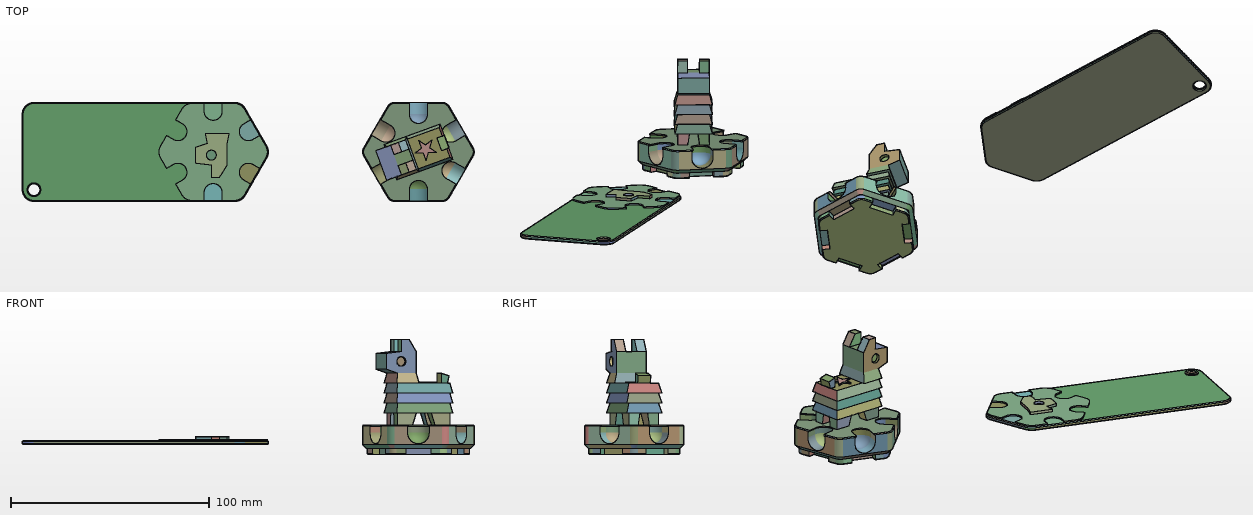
import cadquery as cq
import math

TOTAL_LENGTH = 228.2

HEX_FLATS = 50.0
EDGE_CHAMFER = 0.5
HEX_SIDES = 6

BASE_CORNER_RADIUS = 4.0
BASE_HEIGHT = 15.0
FOOT_HEIGHT = 3.0
FOOT_INSET = 2.0
FOOT_NOTCH_WIDTH = 12.8

SOCKET_RADIUS = 5.5
SOCKET_MOUTH_RADIUS = 4.5
SOCKET_AXIS_DEPTH = 4.0
SOCKET_CENTRE = 19.0

LLAMA_ANGLE = 20.0
BODY_LENGTH = 30.1
BODY_WIDTH = 19.0
NARROW_WIDTH = 16.0
LAYER_HEIGHT = 5.0
END_FLARE = 1.0
BODY_LAYERS = 3
LEG_HEIGHT = 6.0
LEG_GAP_TOP = 8.0
LEG_GAP_BOTTOM = 11.9
LEG_SPLIT_TOP = 4.0
LEG_SPLIT_BOTTOM = 6.0

HEAD_HEIGHT = 11.0
HEAD_LENGTH = 16.0
NECK_LENGTH = 10.0
SNOUT_BOTTOM = 2.0
SNOUT_HEIGHT = 8.0
EAR_LENGTH = 8.0
EAR_TOP_LENGTH = 4.0
EAR_HEIGHT = 6.2
EAR_WIDTH = 5.0
EYE_DROP = 5.0
EYE_DIAMETER = 4.8
EYE_DEPTH = 1.5

TAIL_FRONT = 11.2
TAIL_TOP_LENGTH = 4.0
TAIL_ROOT_LENGTH = 3.2
TAIL_WIDTH = 6.8
TAIL_HEIGHT = 5.0
TAIL_DROP = 1.25
STAR_POINTS = 5
STAR_RADIUS = 5.7
STAR_HEIGHT = 0.7
STAR_U = 3.9

TAG_HEX_X = -103.6
TAG_BOTTOM = 5.0
TAG_THICKNESS = 2.0
TILE_HEIGHT = 0.7
PORTRAIT_HEIGHT = 2.0
PORTRAIT_EYE_DIAMETER = 5.0
PORTRAIT_BACK = 7.0
PORTRAIT_CHIN = 4.3
TILE_NOTCH_TIP = 16.0
KEY_HOLE_DIAMETER = 6.0
TAG_CORNER_RADIUS = 6.0

SQRT3 = math.sqrt(3)
HEX_TIP_X = HEX_FLATS / SQRT3 - BASE_CORNER_RADIUS * (2 / SQRT3 - 1)
TAG_LEFT = HEX_TIP_X - TOTAL_LENGTH
TAG_TOP = TAG_BOTTOM + TAG_THICKNESS
TILE_TOP = TAG_TOP + TILE_HEIGHT
BODY_BOTTOM = BASE_HEIGHT + LEG_HEIGHT
BODY_TOP = BODY_BOTTOM + BODY_LAYERS * LAYER_HEIGHT
HEAD_BOTTOM = BODY_TOP + LAYER_HEIGHT
NECK_FRONT = END_FLARE - BODY_LENGTH / 2
HEAD_BACK = NECK_FRONT + NECK_LENGTH
FOOT_FLATS = HEX_FLATS - 2 * FOOT_INSET


def hex_prism(flats, corner_radius, bottom, height):
    """Hexagonal prism with two corners on the X axis and rounded upright edges."""
    prism = cq.Workplane("XY", origin=(0, 0, bottom)).polygon(HEX_SIDES, 2 * flats / SQRT3).extrude(height)
    return prism.edges("|Z").fillet(corner_radius)


def cut_at_each_flat(shape, cutter):
    """Cut the shape with a cutter made for the -Y flat, repeated at all six flats."""
    for side in range(HEX_SIDES):
        shape = shape.cut(cutter.rotate((0, 0, 0), (0, 0, 1), side * 360 / HEX_SIDES))
    return shape



def socket_half_profile():
    """Half of the socket's cross-section: round bottom, upright wall and 45 degree lip."""
    axis_z = BASE_HEIGHT - SOCKET_AXIS_DEPTH
    lip_z = BASE_HEIGHT - (SOCKET_RADIUS - SOCKET_MOUTH_RADIUS)
    arc_offset = SOCKET_RADIUS * math.sqrt(0.5)
    return (
        cq.Workplane("XZ", origin=(0, -SOCKET_CENTRE, 0))
        .moveTo(0, axis_z - SOCKET_RADIUS)
        .threePointArc((arc_offset, axis_z - arc_offset), (SOCKET_RADIUS, axis_z))
        .lineTo(SOCKET_RADIUS, lip_z)
        .lineTo(SOCKET_MOUTH_RADIUS, BASE_HEIGHT)
        .lineTo(0, BASE_HEIGHT)
        .close()
    )


def socket_cutter():
    """Slot running inward from the -Y flat to a domed end."""
    half_slot = socket_half_profile().extrude(HEX_FLATS / 2 - SOCKET_CENTRE)
    domed_end = socket_half_profile().revolve(360, (0, 0, 0), (0, 1, 0))
    return domed_end.union(half_slot).union(half_slot.mirror("YZ"))


def make_base():
    block = hex_prism(HEX_FLATS, BASE_CORNER_RADIUS, FOOT_HEIGHT, BASE_HEIGHT - FOOT_HEIGHT)
    block = block.faces(">Z").chamfer(EDGE_CHAMFER)
    block = block.faces("<Z").chamfer(FOOT_INSET)
    block = cut_at_each_flat(block, socket_cutter())

    foot = hex_prism(FOOT_FLATS, BASE_CORNER_RADIUS, 0, FOOT_HEIGHT).faces("<Z").chamfer(EDGE_CHAMFER)
    notch_depth = FOOT_FLATS / 2 - SOCKET_CENTRE
    notch = cq.Workplane("XY").box(FOOT_NOTCH_WIDTH, 2 * notch_depth, FOOT_HEIGHT, centered=(True, True, False))
    foot = cut_at_each_flat(foot, notch.translate((0, -FOOT_FLATS / 2, 0)))
    return block.union(foot)



def flared_layer(u_min, u_max, bottom):
    """Rectangular layer across the body whose sides flare outward toward its bottom edge."""
    length = u_max - u_min
    return (
        cq.Workplane("XY", origin=((u_min + u_max) / 2, 0, bottom))
        .rect(length, BODY_WIDTH)
        .workplane(offset=LAYER_HEIGHT)
        .rect(length - 2 * END_FLARE, NARROW_WIDTH)
        .loft()
    )


def leg_gap(plane, top_width, bottom_width, reach):
    """Passage between the legs, wider at the floor than at the belly."""
    return (
        cq.Workplane(plane, origin=(0, 0, BASE_HEIGHT))
        .polyline([
            (-bottom_width / 2, 0),
            (bottom_width / 2, 0),
            (top_width / 2, LEG_HEIGHT),
            (-top_width / 2, LEG_HEIGHT),
        ])
        .close()
        .extrude(reach, both=True)
    )


def make_legs():
    legs = cq.Workplane("XY", origin=(0, 0, BASE_HEIGHT)).box(
        BODY_LENGTH - 2 * END_FLARE, NARROW_WIDTH, LEG_HEIGHT, centered=(True, True, False)
    )
    legs = legs.cut(leg_gap("XZ", LEG_GAP_TOP, LEG_GAP_BOTTOM, BODY_WIDTH))
    return legs.cut(leg_gap("YZ", LEG_SPLIT_TOP, LEG_SPLIT_BOTTOM, BODY_LENGTH))


def head_outline():
    """Side outline of the head without ears, from the back face at 0 to the snout."""
    return [
        (0, 0),
        (-NECK_LENGTH, 0),
        (-HEAD_LENGTH, SNOUT_BOTTOM),
        (-HEAD_LENGTH, SNOUT_BOTTOM + SNOUT_HEIGHT),
        (-EAR_LENGTH, HEAD_HEIGHT),
        (0, HEAD_HEIGHT),
    ]


def ear_outline():
    """Side outline of an ear, flat on top and sloping down to the back of the head."""
    return [
        (0, HEAD_HEIGHT),
        (-EAR_LENGTH, HEAD_HEIGHT),
        (-EAR_LENGTH, HEAD_HEIGHT + EAR_HEIGHT),
        (EAR_TOP_LENGTH - EAR_LENGTH, HEAD_HEIGHT + EAR_HEIGHT),
    ]


def make_head():
    side_plane = cq.Workplane("XZ", origin=(HEAD_BACK, 0, HEAD_BOTTOM))
    head = side_plane.polyline(head_outline()).close().extrude(NARROW_WIDTH / 2, both=True)
    eye = side_plane.center(-EAR_LENGTH, HEAD_HEIGHT - EYE_DROP).circle(EYE_DIAMETER / 2)
    eye = eye.extrude(EYE_DEPTH, both=True)
    ear = side_plane.polyline(ear_outline()).close().extrude(EAR_WIDTH / 2, both=True)
    for side in (-1, 1):
        head = head.union(ear.translate((0, side * (NARROW_WIDTH - EAR_WIDTH) / 2, 0)))
        head = head.cut(eye.translate((0, side * NARROW_WIDTH / 2, 0)))
    return head


def make_tail():
    return (
        cq.Workplane("XZ", origin=(TAIL_FRONT, 0, BODY_TOP))
        .polyline([
            (0, 0),
            (0, TAIL_HEIGHT),
            (TAIL_TOP_LENGTH, TAIL_HEIGHT - TAIL_DROP),
            (TAIL_ROOT_LENGTH, 0),
        ])
        .close()
        .extrude(TAIL_WIDTH / 2, both=True)
    )


def make_star():
    """Regular five-pointed star with one point toward the head."""
    inner_radius = STAR_RADIUS * math.cos(2 * math.pi / STAR_POINTS) / math.cos(math.pi / STAR_POINTS)
    points = []
    for corner in range(2 * STAR_POINTS):
        radius = STAR_RADIUS if corner % 2 == 0 else inner_radius
        angle = math.pi + corner * math.pi / STAR_POINTS
        points.append((radius * math.cos(angle), radius * math.sin(angle)))
    return cq.Workplane("XY", origin=(STAR_U, 0, BODY_TOP)).polyline(points).close().extrude(STAR_HEIGHT)


def make_llama():
    llama = make_legs()
    for layer in range(BODY_LAYERS):
        layer_bottom = BODY_BOTTOM + layer * LAYER_HEIGHT
        llama = llama.union(flared_layer(-BODY_LENGTH / 2, BODY_LENGTH / 2, layer_bottom))
    llama = llama.union(flared_layer(-BODY_LENGTH / 2, HEAD_BACK + END_FLARE, BODY_TOP))
    llama = llama.union(make_head()).union(make_tail()).union(make_star())
    return llama.rotate((0, 0, 0), (0, 0, 1), LLAMA_ANGLE)



def make_tag_plate():
    """Flat plate with a square end and a pointed end shaped like half of the hexagon."""
    corner_x = HEX_FLATS / SQRT3 / 2
    square_end = TAG_LEFT - TAG_HEX_X
    plate = (
        cq.Workplane("XY", origin=(0, 0, TAG_BOTTOM))
        .polyline([
            (square_end, -HEX_FLATS / 2),
            (corner_x, -HEX_FLATS / 2),
            (2 * corner_x, 0),
            (corner_x, HEX_FLATS / 2),
            (square_end, HEX_FLATS / 2),
        ])
        .close()
        .extrude(TAG_THICKNESS)
        .edges("|Z")
        .fillet(TAG_CORNER_RADIUS)
    )
    key_hole = (
        cq.Workplane("XY", origin=(0, 0, TAG_BOTTOM))
        .center(square_end + TAG_CORNER_RADIUS, TAG_CORNER_RADIUS - HEX_FLATS / 2)
        .circle(KEY_HOLE_DIAMETER / 2)
        .extrude(TAG_THICKNESS)
    )
    return plate.cut(key_hole).faces("<Z or >Z").chamfer(EDGE_CHAMFER)


def make_tag_tile():
    """Thin raised outline of the base, with a round-ended notch at each flat."""
    tile = hex_prism(HEX_FLATS - 2 * EDGE_CHAMFER, TAG_CORNER_RADIUS, TAG_TOP, TILE_HEIGHT)
    round_end_y = -TILE_NOTCH_TIP - SOCKET_MOUTH_RADIUS
    reach = HEX_FLATS / 2 + round_end_y
    tile_plane = cq.Workplane("XY", origin=(0, round_end_y, TAG_TOP))
    notch = tile_plane.circle(SOCKET_MOUTH_RADIUS).extrude(TILE_HEIGHT)
    notch = notch.union(
        tile_plane.center(0, -reach / 2).rect(2 * SOCKET_MOUTH_RADIUS, reach).extrude(TILE_HEIGHT)
    )
    return cut_at_each_flat(tile, notch)


def make_portrait():
    """Raised side portrait of the llama's head and neck layer, upside down, on the tile."""
    portrait_height = TAG_TOP + PORTRAIT_HEIGHT - TILE_TOP
    face = cq.Workplane("XY", origin=(0, 0, TILE_TOP))
    neck_outline = [
        (0, 0),
        (-NECK_LENGTH, 0),
        (-NECK_LENGTH - END_FLARE, -LAYER_HEIGHT),
        (END_FLARE, -LAYER_HEIGHT),
    ]
    portrait = face.polyline(head_outline()).close().extrude(portrait_height)
    portrait = portrait.union(face.polyline(ear_outline()).close().extrude(portrait_height))
    portrait = portrait.union(face.polyline(neck_outline).close().extrude(portrait_height))
    eye = face.center(-EAR_LENGTH, HEAD_HEIGHT - EYE_DROP).circle(PORTRAIT_EYE_DIAMETER / 2)
    portrait = portrait.cut(eye.extrude(portrait_height))
    return portrait.mirror("XZ").translate((PORTRAIT_BACK, PORTRAIT_CHIN, 0))


def make_tag():
    tag = make_tag_plate().union(make_tag_tile()).union(make_portrait())
    return tag.translate((TAG_HEX_X, 0, 0))


base = make_base()
llama = make_llama()
tag = make_tag()

result = cq.Compound.makeCompound([
    base.solids().val(),
    llama.solids().val(),
    tag.solids().val(),
])